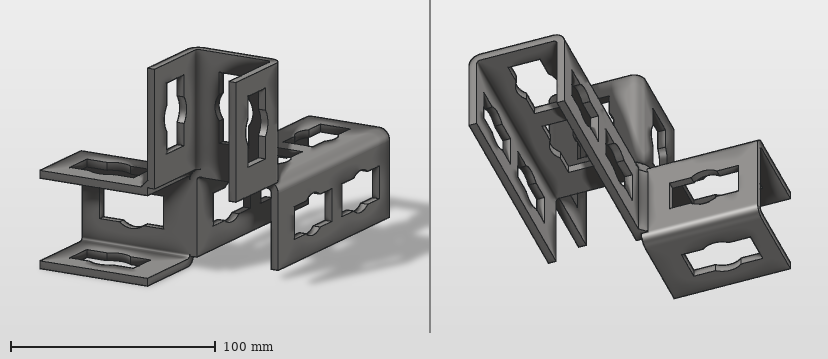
import cadquery as cq

wall = 4.0
channel_width = 50.0
channel_depth = 45.0
outer_bend = 6.0
inner_bend = outer_bend - wall

short_arm = 61.0
long_arm = 104.0

slot_length = 36.0
slot_width = 16.7
slot_hole_diameter = 21.5
slot_end_distance = 28.0
slot_pitch = 46.0
web_slot_axis = channel_width / 2
flange_slot_axis = 24.7

fill_leg = 3.7

back_frame = cq.Plane(origin=(channel_width, 0, 0), xDir=(-1, 0, 0), normal=(0, 1, 0))
left_frame = cq.Plane(origin=(0, 0, -channel_width), xDir=(0, 0, 1), normal=(-1, 0, 0))
up_frame = cq.Plane(origin=(0, 0, 0), xDir=(1, 0, 0), normal=(0, 0, 1))


def channel_envelope(frame, start, end, inset, bend):
    """Solid block with two rounded corners, inset from the web and flange outer faces."""
    half_width = channel_width / 2 - inset
    return (
        cq.Workplane(frame)
        .workplane(offset=start)
        .center(channel_width / 2, 0)
        .moveTo(-half_width, -channel_depth)
        .lineTo(-half_width, -inset - bend)
        .radiusArc((-half_width + bend, -inset), bend)
        .lineTo(half_width - bend, -inset)
        .radiusArc((half_width, -inset - bend), bend)
        .lineTo(half_width, -channel_depth)
        .close()
        .extrude(end - start)
    )


def channel(frame, start, end):
    """U-channel with rounded bends, running from start to end along the frame normal."""
    outside = channel_envelope(frame, start, end, 0, outer_bend)
    inside = channel_envelope(frame, start, end, wall, inner_bend)
    return outside.cut(inside)


def slot(plane, x, y, depth):
    """Slot cutter, long along local x, reaching the given depth along the plane normal."""
    rectangle = cq.Workplane(plane).center(x, y).rect(slot_length, slot_width).extrude(depth)
    hole = cq.Workplane(plane).center(x, y).circle(slot_hole_diameter / 2).extrude(depth)
    return rectangle.union(hole)


def slotted_arm(frame, start, end, slot_count):
    """Channel with rows of slots through the web and both flanges, counted from its free end."""
    arm = channel(frame, start, end)
    web_plane = cq.Plane(origin=frame.origin, xDir=frame.zDir, normal=-frame.yDir)
    flange_plane = cq.Plane(origin=frame.origin, xDir=frame.zDir, normal=frame.xDir)
    for index in range(slot_count):
        distance = end - slot_end_distance - index * slot_pitch
        arm = arm.cut(slot(web_plane, distance, -web_slot_axis, wall))
        arm = arm.cut(slot(flange_plane, distance, flange_slot_axis, channel_width))
    return arm


def straight_fill(x_dir, normal, start, end):
    """Triangular bar along an edge through the origin, from start to end along the normal."""
    plane = cq.Plane(origin=(0, 0, 0), xDir=x_dir, normal=normal)
    corners = [(0, 0), (fill_leg, 0), (0, fill_leg)]
    return cq.Workplane(plane).workplane(offset=start).polyline(corners).close().extrude(end - start)


def bend_fill():
    """Quarter cone ring that carries the fill around the bend of the up arm."""
    plane = cq.Plane(origin=(outer_bend, -outer_bend, 0), xDir=(0, 1, 0), normal=(1, 0, 0))
    corners = [(outer_bend, 0), (outer_bend + fill_leg, 0), (outer_bend, fill_leg)]
    return cq.Workplane(plane).polyline(corners).close().revolve(90, (0, 0), (0, 1))


def corner_fill():
    """Ruled patch from the end of the back-left fill up to the foot of the quarter cone ring."""
    bottom = (
        cq.Workplane("XY", origin=(0, 0, -outer_bend))
        .polyline([(-fill_leg, 0), (0, fill_leg), (wall, 0), (0, -wall)])
        .close()
    )
    return (
        bottom.workplane(offset=outer_bend)
        .moveTo(-fill_leg, -outer_bend)
        .radiusArc((outer_bend, fill_leg), outer_bend + fill_leg)
        .lineTo(outer_bend, 0)
        .radiusArc((0, -outer_bend), -outer_bend)
        .close()
        .loft(ruled=True)
    )


back_arm = slotted_arm(back_frame, -wall, long_arm, 2)
left_arm = slotted_arm(left_frame, 0, short_arm, 1)
up_arm = slotted_arm(up_frame, 0, short_arm, 1)

back_up_fill = straight_fill((0, 1, 0), (1, 0, 0), outer_bend, channel_width - outer_bend)
left_up_fill = straight_fill((-1, 0, 0), (0, 1, 0), -channel_depth, -outer_bend)
back_left_fill = straight_fill((0, 1, 0), (0, 0, 1), -channel_depth, -outer_bend)

result = (
    back_arm.union(left_arm)
    .union(up_arm)
    .union(back_up_fill)
    .union(left_up_fill)
    .union(back_left_fill)
    .union(bend_fill())
    .union(corner_fill())
)